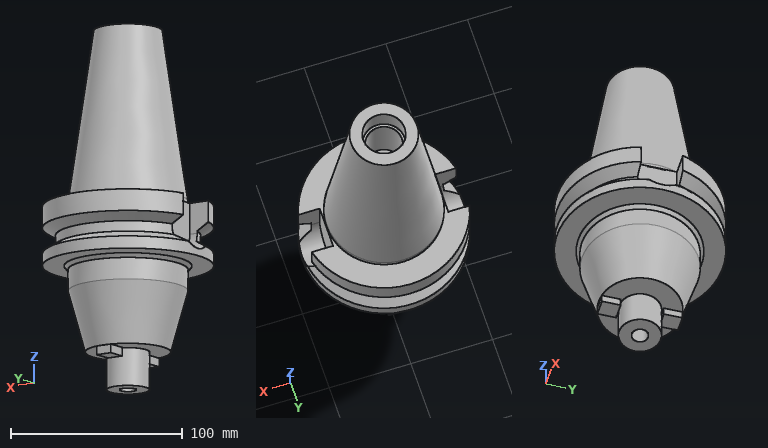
import cadquery as cq

total_height = 213.8
taper_base_z = 112.0
flange_top_z = 109.0
groove_edge_top_z = 96.2
groove_floor_top_z = 91.7
groove_floor_bottom_z = 85.5
groove_edge_bottom_z = 81.0
flange_bottom_z = 73.8
collar_top_z = 71.5
nose_top_z = 58.8
nose_bottom_z = 22.5

taper_tip_radius = 20.0
body_radius = 35.0
flange_radius = 50.0
groove_radius = 42.3
flange_underside_radius = 37.2
nose_tip_radius = 25.0
spigot_radius = 12.6

bore_mouth_radius = 12.6
bore_mouth_depth = 13.5
bore_inner_radius = 11.0
bore_inner_depth = 45.0
coolant_radius = 5.0

slot_width = 25.2
slot_floor_x = 35.3
slot_bottom_z = 78.0

key_width = 10.0
key_height = 5.1
key_inner_y = 13.0
key_outer_y = 24.4


def turned_body():
    """Taper, grooved flange, nose and spigot revolved about Z."""
    profile = [
        (0, 0),
        (spigot_radius, 0),
        (spigot_radius, nose_bottom_z),
        (nose_tip_radius, nose_bottom_z),
        (body_radius, nose_top_z),
        (body_radius, collar_top_z),
        (flange_underside_radius, flange_bottom_z),
        (flange_radius, flange_bottom_z),
        (flange_radius, groove_edge_bottom_z),
        (groove_radius, groove_floor_bottom_z),
        (groove_radius, groove_floor_top_z),
        (flange_radius, groove_edge_top_z),
        (flange_radius, flange_top_z),
        (body_radius, flange_top_z),
        (body_radius, taper_base_z),
        (taper_tip_radius, total_height),
        (0, total_height),
    ]
    return cq.Workplane("XZ").polyline(profile).close().revolve(360, (0, 0), (0, 1))


def bore_section(radius, depth):
    """Cylinder reaching down from the taper tip."""
    return cq.Workplane("XY").workplane(offset=total_height).circle(radius).extrude(-depth)


def drive_slot(side):
    """Cutter for one drive slot; side is +1 for +X and -1 for -X."""
    half_width = slot_width / 2
    arc_center_z = slot_bottom_z + half_width
    return (
        cq.Workplane("YZ", origin=(side * slot_floor_x, 0, 0))
        .moveTo(-half_width, flange_top_z)
        .lineTo(-half_width, arc_center_z)
        .threePointArc((0, slot_bottom_z), (half_width, arc_center_z))
        .lineTo(half_width, flange_top_z)
        .close()
        .extrude(side * (flange_radius - slot_floor_x))
    )


def drive_key(side):
    """Block under the nose; side is +1 for +Y and -1 for -Y."""
    key_center_y = side * (key_inner_y + key_outer_y) / 2
    return (
        cq.Workplane("XY", origin=(0, key_center_y, nose_bottom_z))
        .rect(key_width, key_outer_y - key_inner_y)
        .extrude(-key_height)
    )


result = turned_body()
for side in (1, -1):
    result = result.cut(drive_slot(side)).union(drive_key(side))

for radius, depth in (
    (bore_mouth_radius, bore_mouth_depth),
    (bore_inner_radius, bore_inner_depth),
    (coolant_radius, total_height),
):
    result = result.cut(bore_section(radius, depth))